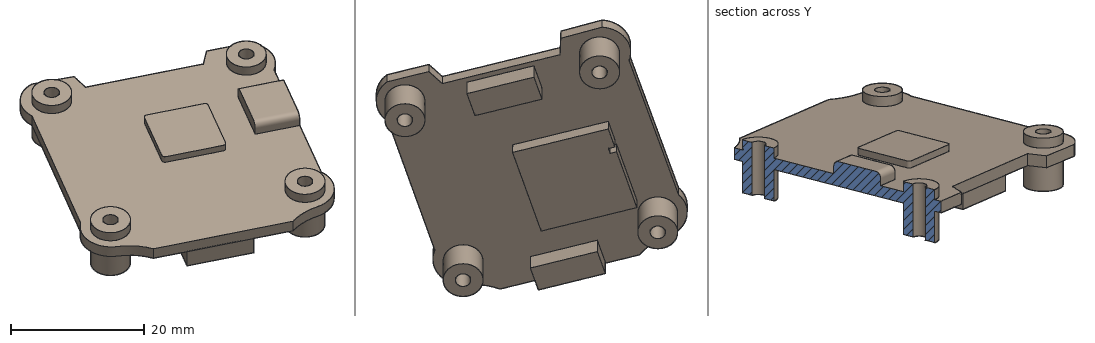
import cadquery as cq


board_thickness = 1.9
board_right = 21.78
board_back = 18.69
lobe_radius = 4.67
flare_radius = 9.6

front_edge_left = (-12.65, -19.17)
front_edge_right = (12.93, -19.28)
front_right_lobe_end = (19.7, -15.7)
right_edge_front = (board_right, -10.53)
right_edge_back = (board_right, 11.34)
back_right_lobe_start = (19.63, 15.9)
back_edge_right = (12.22, board_back)
back_edge_left = (-12.42, board_back)
back_left_lobe_end = (-19.36, 16.72)
back_left_tab = (-19.36, 10.19)
notch_back = (-16.68, 8.9)
notch_front = (-16.68, -9.57)
front_left_tab = (-19.52, -10.52)
front_left_lobe_start = (-19.69, -17.05)

mount_pitch = 30.5
mount_center = (0.04, -0.06)
mount_hole_diameter = 2.3
standoff_diameter = 6.0
standoff_bottom = -5.0
standoff_top = 3.5

chip_size = 10.0
chip_center = (-1.7, 1.5)
chip_top = 3.0
chip_corner_radius = 0.5

usb_width = 9.0
usb_depth = 7.0
usb_left = -7.97
usb_top = 4.0
usb_radius = 1.0

socket_width = 4.2
socket_length = 10.5
socket_height = 3.0
socket_center_y = 0.03
left_socket_x = -15.86
right_socket_x = 21.59

module_left = -2.94
module_right = 12.05
module_size = module_right - module_left
module_height = 2.0
module_front = -13.0
groove_left = 0.5
groove_width = 0.92
groove_depth = 1.0


def box(x, y, z, length, width, height):
    """Box with its lowest corner at (x, y, z)."""
    return cq.Workplane("XY").box(length, width, height, centered=False).translate((x, y, z))


def make_board():
    outline = (
        cq.Workplane("XY")
        .moveTo(*front_edge_left)
        .lineTo(*front_edge_right)
        .radiusArc(front_right_lobe_end, -lobe_radius)
        .radiusArc(right_edge_front, flare_radius)
        .lineTo(*right_edge_back)
        .radiusArc(back_right_lobe_start, flare_radius)
        .radiusArc(back_edge_right, -lobe_radius)
        .lineTo(*back_edge_left)
        .radiusArc(back_left_lobe_end, -lobe_radius)
        .lineTo(*back_left_tab)
        .lineTo(*notch_back)
        .lineTo(*notch_front)
        .lineTo(*front_left_tab)
        .lineTo(*front_left_lobe_start)
        .radiusArc(front_edge_left, -lobe_radius)
        .close()
    )
    return outline.extrude(board_thickness)


def mount_cylinders(diameter):
    return (
        cq.Workplane("XY", origin=(0, 0, standoff_bottom))
        .center(*mount_center)
        .rect(mount_pitch, mount_pitch, forConstruction=True)
        .vertices()
        .circle(diameter / 2)
        .extrude(standoff_top - standoff_bottom)
    )


def make_chip():
    return (
        cq.Workplane("XY")
        .center(*chip_center)
        .rect(chip_size, chip_size)
        .extrude(chip_top)
        .edges("|Z")
        .fillet(chip_corner_radius)
    )


def make_usb_socket():
    body = box(usb_left, board_back - usb_depth, 0, usb_width, usb_depth, usb_top)
    return body.edges(">Z and |Y").fillet(usb_radius)


def make_plug_socket(left):
    front = socket_center_y - socket_length / 2
    return box(left, front, -socket_height, socket_width, socket_length, socket_height)


def make_module():
    body = box(module_left, module_front, -module_height, module_size, module_size, module_height)
    groove = box(groove_left, module_front, -module_height, groove_width, groove_depth, module_height)
    return body.cut(groove)


result = (
    make_board()
    .union(mount_cylinders(standoff_diameter))
    .union(make_chip())
    .union(make_usb_socket())
    .union(make_plug_socket(left_socket_x))
    .union(make_plug_socket(right_socket_x - socket_width))
    .union(make_module())
    .cut(mount_cylinders(mount_hole_diameter))
)